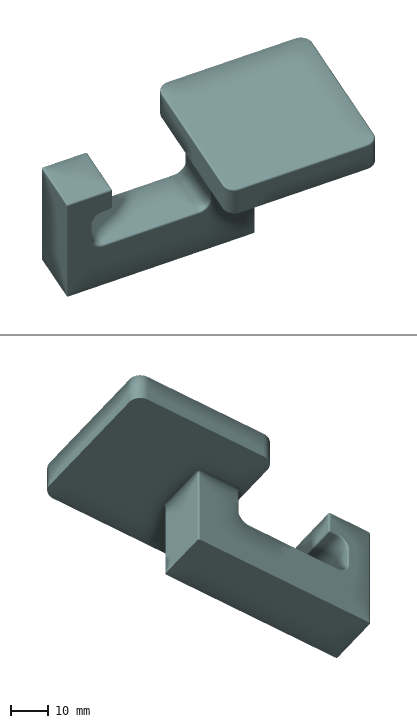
import cadquery as cq

plate_side = 45.0
plate_thickness = 9.0
plate_corner_radius = 3.5

overall_length = 86.0
overall_height = 35.0
hook_width = 16.0
hook_length = 56.0
floor_thickness = 15.0
post_depth = 13.25
front_wall_thickness = 7.4
lip_depth = 13.5
lip_height = 7.2
channel_radius = 3.5

edge_radius = 0.5
selection_margin = 0.1

plate_back = overall_length / 2
plate_bottom = overall_height - plate_thickness
hook_front = -overall_length / 2
hook_back = hook_front + hook_length
post_front = hook_back - post_depth
wall_inside = hook_front + front_wall_thickness
lip_inside = hook_front + lip_depth
lip_bottom = overall_height - lip_height

joint_region = cq.selectors.BoxSelector(
    (-hook_width, post_front - selection_margin, plate_bottom - selection_margin),
    (hook_width, hook_back + selection_margin, plate_bottom + selection_margin),
)


def make_plate():
    plate = (
        cq.Workplane("XY")
        .box(plate_side, plate_side, plate_thickness, centered=(True, True, False))
        .translate((0, plate_back - plate_side / 2, plate_bottom))
    )
    return plate.edges("|Z").fillet(plate_corner_radius).faces(">Z").edges().fillet(edge_radius)


def make_hook():
    profile = [
        (hook_front, 0),
        (hook_back, 0),
        (hook_back, plate_bottom),
        (post_front, plate_bottom),
        (post_front, floor_thickness),
        (wall_inside, floor_thickness),
        (wall_inside, lip_bottom),
        (lip_inside, lip_bottom),
        (lip_inside, overall_height),
        (hook_front, overall_height),
    ]
    hook = cq.Workplane("YZ").polyline(profile).close().extrude(hook_width / 2, both=True)

    for y, z in [
        (post_front, floor_thickness),
        (wall_inside, floor_thickness),
        (wall_inside, lip_bottom),
    ]:
        hook = hook.edges(cq.selectors.NearestToPointSelector((0, y, z))).fillet(channel_radius)

    side_edges = hook.faces("<X or >X").edges("not <Z")
    tip_edges = hook.faces(">Z").edges("|X")
    lower_lip_edge = hook.edges(cq.selectors.NearestToPointSelector((0, lip_inside, lip_bottom)))
    joint_edges = hook.edges(joint_region).vals()
    softened = [
        edge
        for edge in side_edges.add(tip_edges).add(lower_lip_edge).vals()
        if not any(edge.isSame(joint_edge) for joint_edge in joint_edges)
    ]
    return hook.newObject(softened).fillet(edge_radius)


result = make_plate().union(make_hook()).edges(joint_region).fillet(edge_radius)